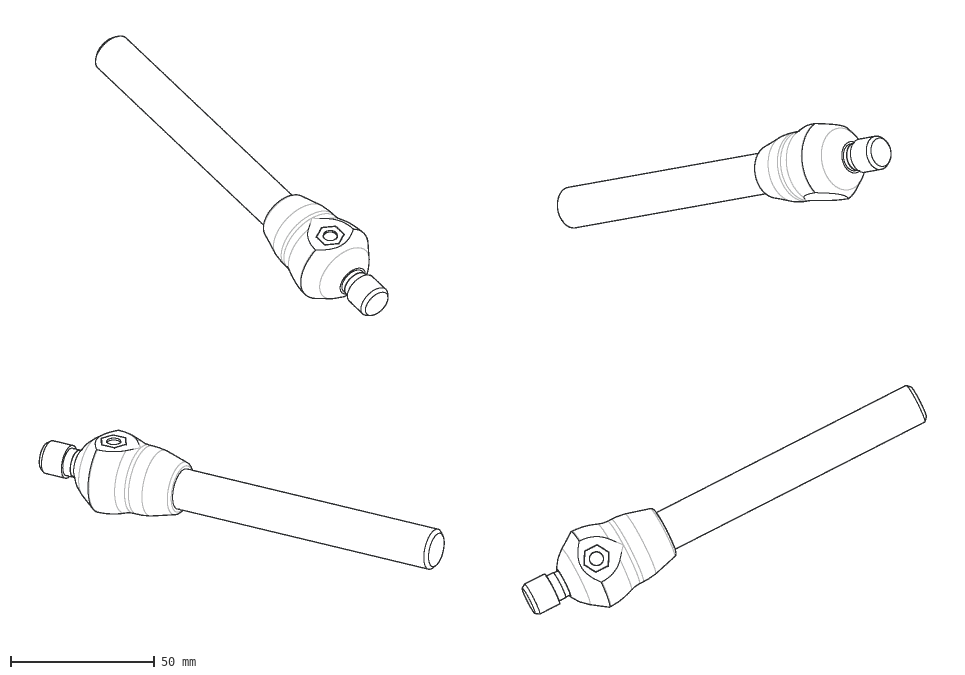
import cadquery as cq
import math

length = 153.4

rod_radius = 7.2
rod_chamfer = 1.2

head_start = 99.9
head_start_radius = 9.2
head_edge_fillet = 0.9
cone_end = 109.5
cone_end_radius = 11.8
waist_start = 114.6
waist_end = 116.1
waist_radius = 12.3
bulge_start = 119.7
crest = 128.9
crest_radius = 29.6 / 2
crest_land = 0.3
nose_start = 134.8
nose_start_radius = 10.9
nose_end = 139.6
nose_end_radius = 5.5

flat_height = waist_radius

groove_radius = 4.8
groove_end = 141.3
neck_radius = 4.9
stud_start = 144.2
stud_radius = 11.8 / 2
stud_chamfer_length = 1.4
stud_chamfer_depth = 0.9

insert_x = 126.7
insert_across_flats = 8.3
insert_clearance = 0.2
insert_depth = 4.6
insert_hole_diameter = 4.9
insert_hole_depth = 0.8


def make_arm():
    """Rod, head and stud turned in one piece, with two flats on the head."""
    rise = crest_radius - waist_radius
    hollow_share = (bulge_start - waist_end) / (crest - waist_end)
    bulge_start_radius = waist_radius + rise * hollow_share
    shoulder_slope = 2 * rise / (crest - waist_end)
    shoulder_tangent = (1, shoulder_slope)
    cone_slope = (cone_end_radius - head_start_radius) / (cone_end - head_start)
    fillet_end_radius = head_start_radius + cone_slope * head_edge_fillet
    cone_tangent = (1, cone_slope)

    profile = (
        cq.Workplane("XY")
        .moveTo(0, 0)
        .lineTo(0, rod_radius - rod_chamfer)
        .lineTo(rod_chamfer, rod_radius)
        .lineTo(head_start, rod_radius)
        .lineTo(head_start, head_start_radius - head_edge_fillet)
        .tangentArcPoint((head_start + head_edge_fillet, fillet_end_radius), relative=False)
        .lineTo(cone_end, cone_end_radius)
        .spline([(waist_start, waist_radius)], tangents=[cone_tangent, (1, 0)], includeCurrent=True)
        .lineTo(waist_end, waist_radius)
        .spline([(bulge_start, bulge_start_radius)], tangents=[(1, 0), shoulder_tangent], includeCurrent=True)
        .spline([(crest, crest_radius)], tangents=[shoulder_tangent, (1, 0)], includeCurrent=True)
        .lineTo(crest + crest_land, crest_radius)
        .lineTo(nose_start, nose_start_radius)
        .tangentArcPoint((nose_end, nose_end_radius), relative=False)
        .lineTo(nose_end, groove_radius)
        .lineTo(groove_end, groove_radius)
        .lineTo(groove_end, neck_radius)
        .lineTo(stud_start, neck_radius)
        .lineTo(stud_start, stud_radius)
        .lineTo(length - stud_chamfer_length, stud_radius)
        .lineTo(length, stud_radius - stud_chamfer_depth)
        .lineTo(length, 0)
        .close()
    )
    turned = profile.revolve(360, (0, 0, 0), (1, 0, 0))

    flats = cq.Workplane("XY").box(length, 2 * crest_radius, 2 * flat_height, centered=(False, True, True))
    return turned.intersect(flats)


def make_hexagon(across_flats):
    """Hexagonal prism whose top is flush with the upper flat, corners along X."""
    across_corners = across_flats / math.cos(math.pi / 6)
    return (
        cq.Workplane("XY")
        .workplane(offset=flat_height - insert_depth)
        .center(insert_x, 0)
        .polygon(6, across_corners)
        .extrude(insert_depth)
    )


def make_insert():
    """Hexagonal insert with a shallow round hole in its top."""
    blank = make_hexagon(insert_across_flats)
    return blank.faces(">Z").workplane().hole(insert_hole_diameter, insert_hole_depth)


insert_recess = make_hexagon(insert_across_flats + 2 * insert_clearance)
arm = make_arm().cut(insert_recess).solids()
insert = make_insert().solids()

result = cq.Compound.makeCompound([arm.val(), insert.val()])